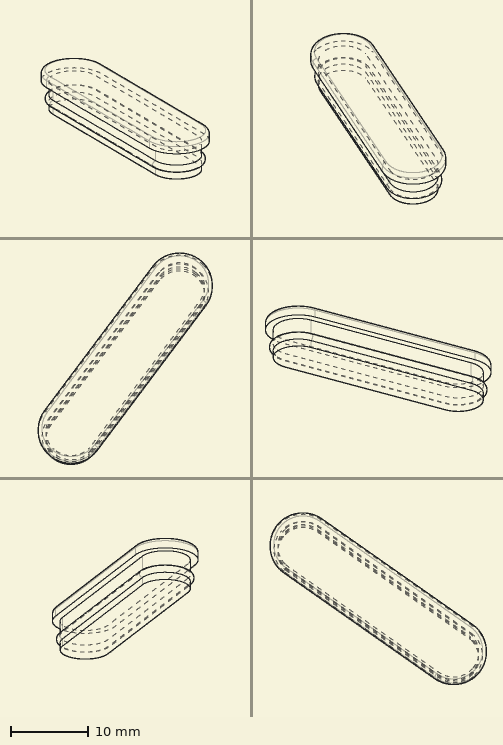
import cadquery as cq

length = 32.5
width = 8.5
height = 5.5
cap_thickness = 1.5
cap_fillet = 0.5

stem_inset = 1.0
stem_length = length - 2 * stem_inset
stem_width = width - 2 * stem_inset
stem_height = height - cap_thickness

bead_radius = 0.5
bead_height = 1.5


def make_cap():
    cap = cq.Workplane("XY").workplane(offset=stem_height).slot2D(length, width).extrude(cap_thickness)
    return cap.faces(">Z").edges().fillet(cap_fillet)


def make_stem():
    return cq.Workplane("XY").slot2D(stem_length, stem_width).extrude(stem_height)


def make_bead():
    """Sweep a circle centred on the stem wall around the whole stem."""
    half_straight = (stem_length - stem_width) / 2
    half_width = stem_width / 2
    path = (
        cq.Workplane("XY", origin=(0, 0, bead_height))
        .moveTo(-half_straight, -half_width)
        .lineTo(half_straight, -half_width)
        .threePointArc((stem_length / 2, 0), (half_straight, half_width))
        .lineTo(-half_straight, half_width)
        .threePointArc((-stem_length / 2, 0), (-half_straight, -half_width))
        .close()
    )
    section = cq.Workplane("YZ", origin=(-half_straight, -half_width, bead_height)).circle(bead_radius)
    return section.sweep(path)


result = make_cap().union(make_stem()).union(make_bead())